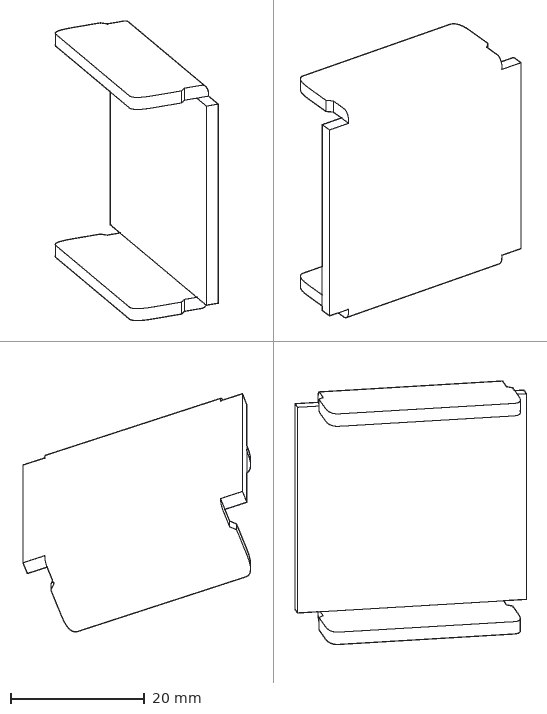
import cadquery as cq
import math

plate_width = 34.9
total_depth = 12.7
total_height = 36.02
thickness = 1.95
plate_height = total_height - 2 * thickness

neck_half_width = 13.98
flange_half_width = 14.77
neck_length = 4.0
shoulder_end = 4.8
corner_width = 1.48
corner_length = 3.3
corner_fullness = 0.68

back_arc_radius = 1.98
outer_arc_radius = 1.0
back_arc_angle = math.radians(37.5)

back_y = total_depth / 2
front_y = -total_depth / 2


def arc_point(center_y, center_z, radius, angle):
    return (center_y + radius * math.cos(angle), center_z + radius * math.sin(angle))


def make_plate():
    return cq.Workplane("XY").box(plate_width, thickness, plate_height).translate(
        (0, back_y - thickness / 2, 0)
    )


def make_bend_cutter():
    """Corner waste outside the two-arc bend of the top flange."""
    top_z = total_height / 2
    radius_step = back_arc_radius - outer_arc_radius
    outer_center_y = back_y - back_arc_radius + radius_step * math.cos(back_arc_angle)
    outer_center_z = top_z - outer_arc_radius
    back_center_y = back_y - back_arc_radius
    back_center_z = outer_center_z - radius_step * math.sin(back_arc_angle)

    back_middle = arc_point(back_center_y, back_center_z, back_arc_radius, back_arc_angle / 2)
    arc_join = arc_point(back_center_y, back_center_z, back_arc_radius, back_arc_angle)
    outer_middle_angle = (back_arc_angle + math.pi / 2) / 2
    outer_middle = arc_point(outer_center_y, outer_center_z, outer_arc_radius, outer_middle_angle)
    return (
        cq.Workplane("YZ")
        .moveTo(back_y, back_center_z)
        .threePointArc(back_middle, arc_join)
        .threePointArc(outer_middle, (outer_center_y, top_z))
        .lineTo(back_y, top_z)
        .close()
        .extrude(neck_half_width, both=True)
    )


def make_top_flange():
    corner_start_y = front_y + corner_length
    corner_end_x = flange_half_width - corner_width
    corner_curve = [
        (flange_half_width, corner_start_y - corner_fullness * corner_length),
        (corner_end_x + corner_fullness * corner_width, front_y),
        (corner_end_x, front_y),
    ]

    half_outline = (
        cq.Workplane("XY")
        .workplane(offset=plate_height / 2)
        .moveTo(0, back_y)
        .lineTo(neck_half_width, back_y)
        .lineTo(neck_half_width, back_y - neck_length)
        .lineTo(flange_half_width, back_y - shoulder_end)
        .lineTo(flange_half_width, corner_start_y)
        .bezier(corner_curve, includeCurrent=True)
        .lineTo(0, front_y)
        .close()
    )
    half_flange = half_outline.extrude(thickness)
    flange = half_flange.union(half_flange.mirror("YZ")).clean()
    return flange.cut(make_bend_cutter())


top_flange = make_top_flange()
bottom_flange = top_flange.mirror("XY")
result = make_plate().union(top_flange).union(bottom_flange)